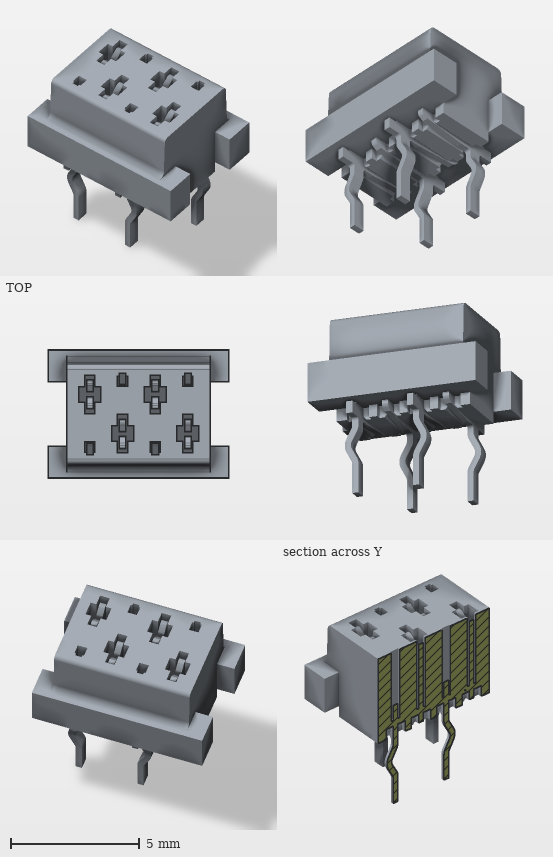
import cadquery as cq
import math

flange_length = 7.04
flange_depth = 5.0
flange_inner_y = 1.25
flange_bottom_z = 3.64
flange_top_z = 5.24
body_length = 5.605
body_bottom_z = 3.145
top_z = 7.15
wall_top_half = 1.93
wall_base_half = 2.01
roof_fillet = 0.19
root_fillet = 0.25

contact_pitch = 1.27
contact_count = 4
contact_thickness = 0.26
contact_row_x = 0.015

slot_floor_z = 3.93
slot_width = 0.39
slot_length = 1.495
slot_y = 0.76
slot_cross_width = 0.86
slot_cross_length = 0.6
window_inner_y = 1.09
window_outer_y = 1.48
window_notch_y = 1.58

relief_width = 0.94
relief_depth = 0.25
groove_mouth_width = 0.53
groove_top_z = 3.295

bar_bottom_z = 3.09
foot_tip_y = 2.17
foot_top_z = 3.575
foot_neck_y = 1.78
foot_fillet = 0.07
heel_y = 1.615
heel_z = 3.495
heel_radius = 0.285
heel_arc_y = 1.48
heel_arc_z = 3.345
heel_facet_y = 1.345
heel_facet_z = 3.26
ramp_y = 0.535
barb_inner_y = 1.14
barb_top_z = 4.65
barb_fillet = 0.06

fork_y = 0.77
fork_half_gap = 0.09
fork_half_width = 0.57
fork_tip_z = 6.965
lead_in_bottom_z = 6.72
lead_in_run = 0.29
lead_in_fillet = 0.13
nose_fillet = 0.1
tip_fillet = 0.05

leg_y = 1.28
leg_width = 0.5
leg_fillet = 0.115
leg_stub_z = 2.86
kink_angle = 28.5
kink_z = 1.99
kink_half_height = 0.69
knee_radius = 0.215
elbow_radius = 0.33


def box(x, y, z):
    """Box spanning the given (low, high) ranges."""
    size = [high - low for low, high in (x, y, z)]
    return cq.Workplane("XY").box(*size, centered=False).translate((x[0], y[0], z[0]))


def centred(width, middle=0.0):
    return middle - width / 2, middle + width / 2


def make_housing():
    crown = (
        cq.Workplane("YZ")
        .moveTo(0, flange_bottom_z)
        .lineTo(flange_depth / 2, flange_bottom_z)
        .lineTo(flange_depth / 2, flange_top_z)
        .lineTo(wall_base_half, flange_top_z)
        .lineTo(wall_top_half, top_z)
        .lineTo(0, top_z)
        .mirrorY()
        .extrude(body_length / 2, both=True)
    )
    for side in (-1, 1):
        root_edge = cq.selectors.NearestToPointSelector((0, side * wall_base_half, flange_top_z))
        roof_edge = cq.selectors.NearestToPointSelector((0, side * wall_top_half, top_z))
        crown = crown.edges(root_edge).fillet(root_fillet)
        crown = crown.edges(roof_edge).fillet(roof_fillet)
    base = box(centred(body_length), centred(2 * flange_inner_y), (body_bottom_z, flange_top_z))
    flange = box(centred(flange_length), centred(flange_depth), (flange_bottom_z, flange_top_z))
    for side in (-1, 1):
        gap_x = centred(flange_length - body_length, side * flange_length / 2)
        gap = box(gap_x, centred(2 * flange_inner_y), (flange_bottom_z, flange_top_z))
        flange = flange.cut(gap)
    return crown.union(base).union(flange)


def make_cavity():
    """Roof openings and underside relief for a contact at x = 0 with its foot toward -Y."""
    roof = (slot_floor_z, top_z)
    slot = box(centred(slot_width), centred(slot_length, slot_y), roof)
    cross = box(centred(slot_cross_width), centred(slot_cross_length, slot_y), roof)
    window = box(centred(slot_width), (-window_outer_y, -window_inner_y), roof)
    notch = box(centred(contact_thickness), (-window_notch_y, -window_inner_y), roof)
    groove = (
        cq.Workplane("XZ")
        .moveTo(-groove_mouth_width / 2, body_bottom_z)
        .lineTo(-contact_thickness / 2, groove_top_z)
        .lineTo(contact_thickness / 2, groove_top_z)
        .lineTo(groove_mouth_width / 2, body_bottom_z)
        .close()
        .extrude(flange_inner_y, both=True)
    )
    cavity = slot.union(cross).union(window).union(notch).union(groove)
    for side in (-1, 1):
        relief_y = centred(2 * relief_depth, side * flange_inner_y)
        cavity = cavity.union(box(centred(relief_width), relief_y, (body_bottom_z, flange_bottom_z)))
    return cavity


def extrude_blade(outline):
    """Close a Y-Z outline and give it the sheet thickness, centred on x = 0."""
    return outline.close().extrude(contact_thickness / 2, both=True)


def make_blade():
    """Flat bar with foot, leg stub and rounded heel."""
    leg_outer = -leg_y - leg_width / 2
    leg_inner = -leg_y + leg_width / 2
    fillet_z = bar_bottom_z - leg_fillet
    outline = (
        cq.Workplane("YZ")
        .moveTo(leg_outer, leg_stub_z)
        .lineTo(leg_outer, fillet_z)
        .radiusArc((leg_outer - leg_fillet, bar_bottom_z), -leg_fillet)
        .lineTo(-foot_tip_y, bar_bottom_z)
        .lineTo(-foot_tip_y, foot_top_z)
        .lineTo(-foot_neck_y - foot_fillet, foot_top_z)
        .radiusArc((-foot_neck_y, foot_top_z + foot_fillet), -foot_fillet)
        .lineTo(-foot_neck_y, slot_floor_z)
        .lineTo(heel_y, slot_floor_z)
        .lineTo(heel_y, heel_z)
        .radiusArc((heel_arc_y, heel_arc_z), heel_radius)
        .lineTo(heel_facet_y, heel_facet_z)
        .lineTo(-ramp_y, bar_bottom_z)
        .lineTo(leg_inner + leg_fillet, bar_bottom_z)
        .radiusArc((leg_inner, fillet_z), -leg_fillet)
        .lineTo(leg_inner, leg_stub_z)
    )
    return extrude_blade(outline)


def make_barb():
    """Upright tab that stands below the small window."""
    barb = box(
        centred(contact_thickness),
        (-window_notch_y, -barb_inner_y),
        (slot_floor_z, barb_top_z),
    )
    return barb.edges("|X and >Y and >Z").fillet(barb_fillet)


def make_tine():
    """Fork tine on the +Y side of the fork centre, with a sloped lead-in."""
    nose = fork_y + fork_half_gap
    outer = fork_y + fork_half_width
    outline = (
        cq.Workplane("YZ")
        .moveTo(nose, slot_floor_z)
        .lineTo(nose, lead_in_bottom_z)
        .lineTo(nose + lead_in_run, fork_tip_z)
        .lineTo(outer, fork_tip_z)
        .lineTo(outer, slot_floor_z)
    )
    tine = extrude_blade(outline)
    bends = [
        (nose, lead_in_bottom_z, nose_fillet),
        (nose + lead_in_run, fork_tip_z, lead_in_fillet),
        (outer, fork_tip_z, tip_fillet),
    ]
    for y, z, radius in bends:
        tine = tine.edges(cq.selectors.NearestToPointSelector((0, y, z))).fillet(radius)
    return tine


def make_leg(bend):
    """Leg kinked sideways toward +X (bend = 1) or -X (bend = -1)."""
    half = contact_thickness / 2
    angle = math.radians(kink_angle)
    apex_shift = kink_half_height * math.tan(angle)
    knee_miter = half * math.tan(angle / 2)
    apex_miter = half / math.cos(angle)
    knee_top = kink_z + kink_half_height
    knee_bottom = kink_z - kink_half_height
    near_knees = [(half, knee_top + knee_miter), (half, knee_bottom - knee_miter)]
    far_knees = [(-half, knee_top - knee_miter), (-half, knee_bottom + knee_miter)]
    outer_apex = (apex_shift + apex_miter, kink_z)
    inner_apex = (apex_shift - apex_miter, kink_z)
    outline = [(half, leg_stub_z), near_knees[0], outer_apex, near_knees[1], (half, 0)]
    outline += [(-half, 0), far_knees[1], inner_apex, far_knees[0], (-half, leg_stub_z)]
    leg = (
        cq.Workplane("XZ")
        .polyline([(bend * x, z) for x, z in outline])
        .close()
        .extrude(leg_width / 2, both=True)
    )
    bends = [(corner, knee_radius) for corner in near_knees]
    bends += [(corner, knee_radius + contact_thickness) for corner in far_knees]
    bends += [(inner_apex, elbow_radius), (outer_apex, elbow_radius + contact_thickness)]
    for (x, z), radius in bends:
        corner_edge = cq.selectors.NearestToPointSelector((bend * x, 0, z))
        leg = leg.edges(corner_edge).fillet(radius)
    return leg.translate((0, -leg_y, 0))


def make_contact(bend):
    """Complete contact at x = 0 with its foot toward -Y."""
    tine = make_tine()
    other_tine = tine.mirror("XZ", (0, fork_y, 0))
    return make_blade().union(make_barb()).union(tine).union(other_tine).union(make_leg(bend))


housing = make_housing()
contacts = cq.Workplane("XY")
for index in range(contact_count):
    steps_from_centre = index - (contact_count - 1) / 2
    place = (contact_row_x + steps_from_centre * contact_pitch, 0, 0)
    outward = 1 if steps_from_centre > 0 else -1
    turned = index % 2 == 1
    bend = -outward if turned else outward
    turn = 180 if turned else 0
    cavity = make_cavity().rotate((0, 0, 0), (0, 0, 1), turn).translate(place)
    contact = make_contact(bend).rotate((0, 0, 0), (0, 0, 1), turn).translate(place)
    housing = housing.cut(cavity)
    contacts = contacts.add(contact)

result = housing
for contact in contacts.vals():
    result = result.union(cq.Workplane(contact))